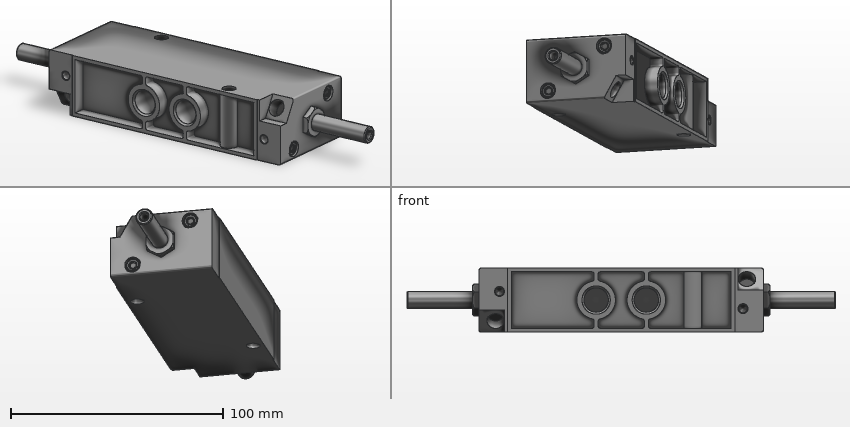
import cadquery as cq
import math

total_length = 202.0
height = 30.3

body_length = 107.0
body_width = 50.0

pocket_margin = 1.8
pocket_depth = 6.5
pocket_length = body_length - 2 * pocket_margin
pocket_height = height - 2 * pocket_margin
rib_width = 1.8
rib_fillet = 1.2

port_spacing = 23.6
port_boss_diameter = 18.2
port_diameter = 11.5
port_mouth_diameter = 13.3
port_depth = 16.2

mount_hole_x = 33.7
mount_hole_y = 19.8
mount_hole_diameter = 6.5
mount_boss_diameter = 8.5

cap_outer_x = 67.0
cap_length = cap_outer_x - body_length / 2
cap_width = 49.3
cap_fillet = 1.2

notch_flange = 1.5
notch_shelf_width = 4.6
notch_height = 10.5
notch_slope = 60.0
notch_run = notch_height / math.tan(math.radians(notch_slope))
cable_hole_diameter = 8.0
cable_hole_x = 59.2
cable_hole_depth = 7.0

side_hole_x = 57.4
side_hole_z = 4.0
side_hole_diameter = 4.0
side_hole_mouth_diameter = 4.6
side_hole_depth = 5.0

screw_y = 14.0
screw_z = 9.9
screw_recess_diameter = 7.5
screw_recess_depth = 2.0
screw_head_diameter = 6.5
screw_head_height = 1.5
screw_head_chamfer = 0.5
socket_flats = 2.8
socket_depth = 1.0
socket_mouth_diameter = 4.0
socket_mouth_depth = 0.5

stem_diameter = 8.0
stem_chamfer = 0.5
stem_hole_diameter = 4.0
stem_hole_mouth_diameter = 5.0
stem_hole_depth = 8.0
nut_flats = 13.1
nut_thickness = 3.0
nut_chamfer = 0.8

drill_point_angle = 118.0
hex_corner_ratio = 2 / math.sqrt(3)


def drilled_hole(plane, diameter, mouth_diameter, depth):
    """Cutter for a blind hole with a 45 degree mouth and a drill point, along the plane normal."""
    radius = diameter / 2
    mouth_radius = mouth_diameter / 2
    point_height = radius / math.tan(math.radians(drill_point_angle / 2))
    half_section = (
        cq.Workplane("XZ")
        .moveTo(0, 0)
        .lineTo(mouth_radius, 0)
        .lineTo(radius, mouth_radius - radius)
        .lineTo(radius, depth)
        .lineTo(0, depth + point_height)
        .close()
    )
    cutter = half_section.revolve(360, (0, 0, 0), (0, 1, 0))
    return cq.Workplane(cutter.val().moved(cq.Location(plane)))


def hexagon(plane, flats, thickness):
    """Hexagonal prism whose corners point along the local X axis of the plane."""
    return cq.Workplane(plane).polygon(6, flats * hex_corner_ratio).extrude(thickness)


def make_pocket_cutter():
    """Shallow pocket that leaves the port bosses, their ribs and the mounting hole boss standing."""
    open_face = cq.Plane((0, -body_width / 2, 0), xDir=(1, 0, 0), normal=(0, 1, 0))
    port_points = [(-port_spacing / 2, 0), (port_spacing / 2, 0)]
    rim = cq.Workplane(open_face).rect(pocket_length, pocket_height).extrude(pocket_depth)
    bosses = cq.Workplane(open_face).pushPoints(port_points).circle(port_boss_diameter / 2).extrude(pocket_depth)
    ribs = cq.Workplane(open_face).pushPoints(port_points).rect(rib_width, height).extrude(pocket_depth)
    pocket = rim.cut(bosses).cut(ribs)
    rib_zone = cq.selectors.BoxSelector(
        (-port_spacing / 2 - rib_width, -body_width, -height),
        (port_spacing / 2 + rib_width, body_width, height),
    )
    pocket = pocket.edges("|Y").edges(rib_zone).fillet(rib_fillet)

    mount_boss = (
        cq.Workplane("XY", origin=(mount_hole_x, -mount_hole_y, -height / 2))
        .circle(mount_boss_diameter / 2)
        .extrude(height)
    )
    return pocket.cut(mount_boss)


def make_port_cutter(port_x):
    """Flat-bottomed port with a bevelled mouth."""
    mouth = cq.Plane((port_x, -body_width / 2, 0), xDir=(1, 0, 0), normal=(0, 1, 0))
    bore = cq.Workplane(mouth).circle(port_diameter / 2).extrude(port_depth)
    bevel_depth = (port_mouth_diameter - port_diameter) / 2
    bevel = cq.Workplane(mouth).circle(port_mouth_diameter / 2).extrude(bevel_depth, taper=45)
    return bore.union(bevel)


def make_body():
    body = cq.Workplane("XY").box(body_length, body_width, height)
    body = body.cut(make_pocket_cutter())
    for port_x in (-port_spacing / 2, port_spacing / 2):
        body = body.cut(make_port_cutter(port_x))
    mount_holes = (
        cq.Workplane("XY", origin=(0, 0, -height / 2))
        .pushPoints([(mount_hole_x, -mount_hole_y), (-mount_hole_x, mount_hole_y)])
        .circle(mount_hole_diameter / 2)
        .extrude(height)
    )
    return body.cut(mount_holes)


def cut_notch(cap):
    """Cut the lower -Y corner of the left cap and drill the cable hole into its sloping face."""
    slope_bottom_y = -cap_width / 2 + notch_shelf_width + notch_run
    notch = (
        cq.Workplane("YZ", origin=(-cap_outer_x, 0, 0))
        .moveTo(-cap_width / 2, -height / 2)
        .lineTo(slope_bottom_y, -height / 2)
        .lineTo(slope_bottom_y - notch_run, -height / 2 + notch_height)
        .lineTo(-cap_width / 2, -height / 2 + notch_height)
        .close()
        .extrude(cap_length - notch_flange)
    )
    slope_middle = (-cable_hole_x, slope_bottom_y - notch_run / 2, -height / 2 + notch_height / 2)
    slope_plane = cq.Plane(slope_middle, xDir=(1, 0, 0), normal=(0, notch_height, notch_run))
    cable_hole = cq.Workplane(slope_plane).circle(cable_hole_diameter / 2).extrude(cable_hole_depth)
    return cap.cut(notch).cut(cable_hole)


def add_screw(cap, y, z):
    """Sink a socket head screw into the outer face of the left cap."""
    recess = (
        cq.Workplane("YZ", origin=(-cap_outer_x, y, z))
        .circle(screw_recess_diameter / 2)
        .extrude(screw_recess_depth)
    )
    head_x = -cap_outer_x + screw_recess_depth - screw_head_height
    head = (
        cq.Workplane("YZ", origin=(head_x, y, z))
        .circle(screw_head_diameter / 2)
        .extrude(screw_head_height)
        .faces("<X")
        .chamfer(screw_head_chamfer)
    )
    socket_mouth = (
        cq.Workplane("YZ", origin=(head_x, y, z))
        .circle(socket_mouth_diameter / 2)
        .extrude(socket_mouth_depth)
    )
    socket = hexagon(cq.Plane((head_x, y, z), xDir=(0, 0, 1), normal=(1, 0, 0)), socket_flats, socket_depth)
    return cap.cut(recess).union(head.cut(socket).cut(socket_mouth))


def make_nut():
    """Hexagonal nut on the outer face of the left cap, with its outer corners turned off."""
    nut_plane = cq.Plane((-cap_outer_x, 0, 0), xDir=(0, 0, 1), normal=(-1, 0, 0))
    nut = hexagon(nut_plane, nut_flats, nut_thickness)
    turned_blank = (
        cq.Workplane(nut_plane)
        .circle(nut_flats * hex_corner_ratio / 2)
        .extrude(nut_thickness)
        .faces("<X")
        .chamfer(nut_chamfer)
    )
    return nut.intersect(turned_blank)


def make_stem():
    """Stem of the left cap, bevelled and drilled at its free end."""
    stem = (
        cq.Workplane("YZ", origin=(-total_length / 2, 0, 0))
        .circle(stem_diameter / 2)
        .extrude(total_length / 2 - cap_outer_x)
        .faces("<X")
        .chamfer(stem_chamfer)
    )
    end_plane = cq.Plane((-total_length / 2, 0, 0), xDir=(0, 1, 0), normal=(1, 0, 0))
    return stem.cut(drilled_hole(end_plane, stem_hole_diameter, stem_hole_mouth_diameter, stem_hole_depth))


def make_left_end():
    """Left cap with its notch, holes, screws, nut and stem."""
    cap = (
        cq.Workplane("XY")
        .box(cap_length, cap_width, height)
        .translate((-cap_outer_x + cap_length / 2, 0, 0))
        .faces("<X")
        .edges("|Y")
        .fillet(cap_fillet)
    )
    cap = cut_notch(cap)
    side_plane = cq.Plane((-side_hole_x, -cap_width / 2, side_hole_z), xDir=(1, 0, 0), normal=(0, 1, 0))
    cap = cap.cut(drilled_hole(side_plane, side_hole_diameter, side_hole_mouth_diameter, side_hole_depth))
    cap = add_screw(cap, -screw_y, screw_z)
    cap = add_screw(cap, screw_y, -screw_z)
    return cap.union(make_nut()).union(make_stem())


left_end = make_left_end()
right_end = left_end.rotate((0, 0, 0), (0, 1, 0), 180)
result = make_body().union(left_end).union(right_end)